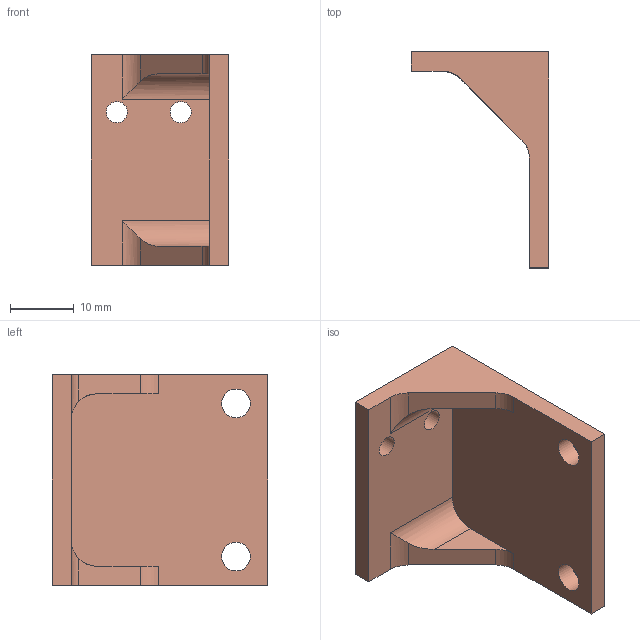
import cadquery as cq

width = 21.5
depth = 33.8
height = 33.0

thickness = 3.0
gusset_leg = 12.0
gusset_blend = 4.0
pocket_radius = 4.0

back_hole_diameter = 3.3
back_hole_first_x = 4.0
back_hole_spacing = 10.0
back_hole_z = 24.0

side_hole_diameter = 4.5
side_hole_front_edge = 5.0
side_hole_spacing = 24.0

wall_x = width - thickness
back_y = -thickness


def make_body():
    """Solid L section with its inner corner filled by the gusset triangle."""
    slope_start = (wall_x - gusset_leg, back_y)
    slope_end = (wall_x, back_y - gusset_leg)
    body = (
        cq.Workplane("XY")
        .moveTo(0, 0)
        .lineTo(width, 0)
        .lineTo(width, -depth)
        .lineTo(wall_x, -depth)
        .lineTo(*slope_end)
        .lineTo(*slope_start)
        .lineTo(0, back_y)
        .close()
        .extrude(height)
    )
    mid_height = height / 2
    for x, y in (slope_start, slope_end):
        corner = cq.selectors.NearestToPointSelector((x, y, mid_height))
        body = body.edges("|Z").edges(corner).fillet(gusset_blend)
    return body


def make_pocket():
    """Space between the gussets, rounded where they meet the back plate."""
    return (
        cq.Workplane("XY")
        .box(wall_x, depth - thickness, height - 2 * thickness, centered=False)
        .translate((0, -depth, thickness))
        .edges("|X and >Y")
        .fillet(pocket_radius)
    )


def make_back_holes():
    """Cutters along Y through the back plate."""
    centers = [(back_hole_first_x + i * back_hole_spacing, back_hole_z) for i in range(2)]
    return (
        cq.Workplane("XZ")
        .pushPoints(centers)
        .circle(back_hole_diameter / 2)
        .extrude(thickness)
    )


def make_side_holes():
    """Cutters along X through the side plate."""
    hole_y = side_hole_front_edge - depth
    centers = [(hole_y, height / 2 + side * side_hole_spacing / 2) for side in (-1, 1)]
    return (
        cq.Workplane("YZ", origin=(wall_x, 0, 0))
        .pushPoints(centers)
        .circle(side_hole_diameter / 2)
        .extrude(thickness)
    )


result = make_body().cut(make_pocket()).cut(make_back_holes()).cut(make_side_holes())